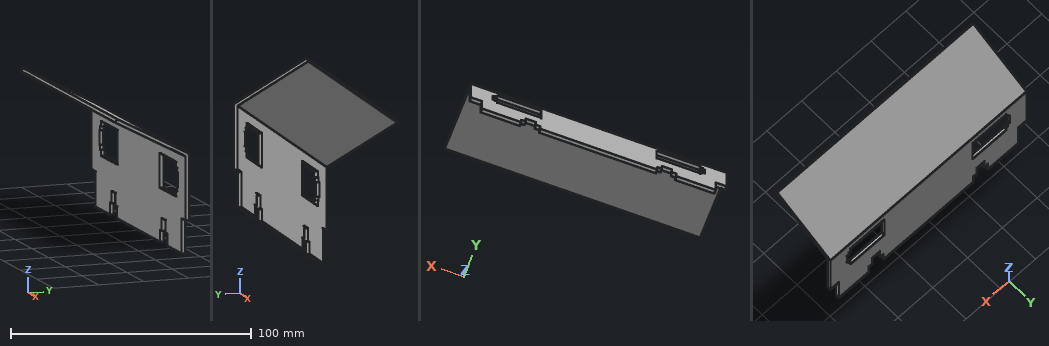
import cadquery as cq
import math

length = 113.0
depth = 32.9
height = 60.3
thickness = 1.7

bend_height = 42.3
flange_angle = math.radians(28.0)

shoulder_width = 4.9
shoulder_height = 15.0
notch_offset = 30.1
notch_mouth_width = 8.5
notch_mouth_height = 5.1
notch_neck_width = 4.5
notch_top = 10.5

window_center_height = 30.4
window_inner_offset = 25.4
window_steps = [
    (19.4, 14.7),
    (20.5, 10.0),
    (21.5, 6.2),
]


def box(x_center, width, bottom, top):
    """Block reaching right through the depth of the part."""
    return cq.Workplane("XY").box(width, depth, top - bottom).translate(
        (x_center, depth / 2, (bottom + top) / 2)
    )


def bent_sheet():
    """Constant-thickness profile, extruded along X, with a mitred bend."""
    back = depth
    front = depth - thickness
    miter_rise = thickness * math.tan((math.pi / 2 - flange_angle) / 2)
    tip_y = thickness * math.sin(flange_angle)
    tip_z = thickness * math.cos(flange_angle)
    profile = [
        (back, 0),
        (back, bend_height + miter_rise),
        (tip_y, height),
        (0, height - tip_z),
        (front, bend_height),
        (front, 0),
    ]
    return cq.Workplane("YZ").polyline(profile).close().extrude(length / 2, both=True)


def notch(side):
    mouth = box(side * notch_offset, notch_mouth_width, 0, notch_mouth_height)
    neck = box(side * notch_offset, notch_neck_width, 0, notch_top)
    return mouth.union(neck)


def window(side):
    opening = cq.Workplane("XY")
    for width, step_height in window_steps:
        x_center = side * (window_inner_offset + width / 2)
        bottom = window_center_height - step_height / 2
        opening = opening.add(box(x_center, width, bottom, bottom + step_height))
    return opening.combine()


def shoulder(side):
    x_center = side * (length - shoulder_width) / 2
    return box(x_center, shoulder_width, 0, shoulder_height)


result = bent_sheet()
for side in (-1, 1):
    result = result.cut(shoulder(side)).cut(notch(side)).cut(window(side))